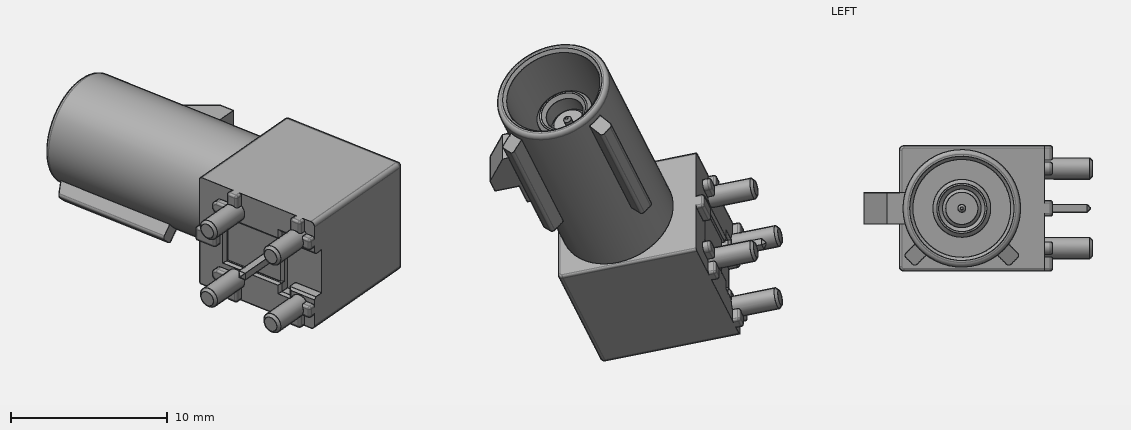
import cadquery as cq


length = 22.8
housing_front = 13.6
housing_width = 8.0
housing_back = 4.0
board_face = 5.3
housing_round = 0.3
front_edge_round = 0.15

barrel_radius = 7.5 / 2
barrel_round = 0.3
bore_radius = 3.12
mouth_chamfer = 0.2

sleeve_radius = 1.85
sleeve_bore_radius = 1.23
sleeve_front = 2.33
sleeve_chamfer = 0.25
insulator_front = 3.5
insulator_chamfer = 0.2
contact_radius = 0.25
contact_front = 3.0
contact_chamfer = 0.15

latch_width = 2.0
latch_front = 4.55
latch_ramp_end = 6.48
latch_catch = 7.52
latch_rear = 9.2
latch_ramp_start_height = 4.79
latch_step_height = 4.63
latch_top = 6.25
latch_root = 3.42

key_angle = 45
key_width = 1.0
key_root = 3.42
key_height = 4.75
key_root_front = 0.6
key_tip_front = 1.05
key_rear = 9.45
key_round = 0.2

pin_x = 19.05
post_spacing = 5.08
post_offset = post_spacing / 2
post_diameter = 1.37
post_end = 8.35
post_chamfer = 0.18
pin_width = 0.5
pin_end = 8.2
pin_chamfer = 0.2

standoff_end = 5.8
rib_width = 0.82
rib_round = 0.15
slot_rib_reach = 1.62
front_pad_length = 1.62
front_pad_width = 1.0

recess_front = 15.44
crossbar_front = 19.85
crossbar_rear = 20.9
recess_width = 3.55
crossbar_width = 4.83
shallow_depth = 0.3
deep_depth = 0.75
bevel_along_x = 0.2
bevel_along_z = 0.15
bevel_depth = 0.15

post_xs = (pin_x - post_offset, pin_x + post_offset)
sides = (-1, 1)


def block(x_range, y_range, z_range):
    """Box spanning the given (low, high) ranges."""
    spans = [high - low for low, high in (x_range, y_range, z_range)]
    corner = (x_range[0], y_range[0], z_range[0])
    return cq.Workplane("XY").box(*spans, centered=False).translate(corner)


def board_plane(x, y, z):
    """Workplane whose normal is -Y, with local x along X and local y along Z."""
    return cq.Workplane("XZ", origin=(x, y, z))


def make_housing():
    half = housing_width / 2
    body = block((housing_front, length), (-board_face, housing_back), (-half, half))
    rear_and_back = body.faces(">X or >Y").edges("not(<X or <Y)")
    body = rear_and_back.fillet(housing_round)
    return body.faces("<X").edges("not <Y").fillet(front_edge_round)


def make_barrel():
    """Barrel shell with a flat rim between the outer round and the mouth chamfer."""
    shell = (
        cq.Workplane("YZ")
        .circle(barrel_radius)
        .extrude(housing_front)
        .faces("<X").edges().fillet(barrel_round)
    )
    bore = cq.Workplane("YZ").circle(bore_radius).extrude(housing_front)
    shell = shell.cut(bore)
    mouth = shell.faces("<X").edges(cq.selectors.RadiusNthSelector(0))
    return mouth.chamfer(mouth_chamfer)


def rod(radius, front, chamfer):
    """Rod on the barrel axis from its chamfered front end to the housing."""
    return (
        cq.Workplane("YZ", origin=(front, 0, 0))
        .circle(radius)
        .extrude(housing_front - front)
        .faces("<X").edges().chamfer(chamfer)
    )


def make_inner_contact():
    """Sleeve around a recessed insulator, with the centre contact standing out of it."""
    sleeve_bore = cq.Workplane("YZ").circle(sleeve_bore_radius).extrude(housing_front)
    sleeve = rod(sleeve_radius, sleeve_front, sleeve_chamfer).cut(sleeve_bore)
    sleeve_mouth = sleeve.faces("<X").edges(cq.selectors.RadiusNthSelector(0))
    sleeve = sleeve_mouth.chamfer(sleeve_chamfer)
    insulator = rod(sleeve_bore_radius, insulator_front, insulator_chamfer)
    contact = rod(contact_radius, contact_front, contact_chamfer)
    return sleeve.union(insulator).union(contact)


def make_latch():
    outline = [
        (latch_front, latch_root),
        (latch_front, latch_ramp_start_height),
        (latch_ramp_end, latch_top),
        (latch_catch, latch_top),
        (latch_catch, latch_step_height),
        (latch_rear, latch_step_height),
        (latch_rear, latch_root),
    ]
    return cq.Workplane("XY").polyline(outline).close().extrude(latch_width / 2, both=True)


def make_key(angle):
    """Key bar with a raked front end, turned about the barrel axis away from -Z."""
    outline = [
        (key_root_front, -key_root),
        (key_tip_front, -key_height),
        (key_rear, -key_height),
        (key_rear, -key_root),
    ]
    bar = cq.Workplane("XZ").polyline(outline).close().extrude(key_width / 2, both=True)
    bar = bar.faces("<Z").edges("|X").fillet(key_round)
    return bar.rotate((0, 0, 0), (1, 0, 0), angle)


def make_post(x, z):
    return (
        board_plane(x, -board_face, z)
        .circle(post_diameter / 2)
        .extrude(post_end - board_face)
        .faces("<Y").edges().chamfer(post_chamfer)
    )


def make_signal_pin():
    """Square pin standing on the shallow recess floor."""
    foot = board_face - shallow_depth
    return (
        board_plane(pin_x, -foot, 0)
        .rect(pin_width, pin_width)
        .extrude(pin_end - foot)
        .faces("<Y").edges().chamfer(pin_chamfer)
    )


def make_rib(x_range, z_range):
    """Standoff rib on the board face, rounded everywhere except along its foot."""
    rib = block(x_range, (-standoff_end, -board_face), z_range)
    return rib.edges("not >Y").fillet(rib_round)


def make_slot_rib(x, z):
    """Standoff rib running forward from a post to a full-round end."""
    rib_length = slot_rib_reach + rib_width / 2
    return (
        board_plane(x - slot_rib_reach + rib_length / 2, -board_face, z)
        .slot2D(rib_length, rib_width)
        .extrude(standoff_end - board_face)
        .faces("<Y").edges().fillet(rib_round)
    )


def make_standoffs():
    """Front pad, ribs from each post to the nearest side, and one fore-and-aft rib per post."""
    half_rib = rib_width / 2
    half_pad = front_pad_width / 2
    front_post_x, rear_post_x = post_xs
    pad_range = (housing_front, housing_front + front_pad_length)
    ribs = make_rib(pad_range, (-half_pad, half_pad))
    for side in sides:
        post_z = side * post_offset
        z_range = sorted((post_z, side * housing_width / 2))
        for x in post_xs:
            ribs = ribs.union(make_rib((x - half_rib, x + half_rib), z_range))
        ribs = ribs.union(make_slot_rib(front_post_x, post_z))
        ribs = ribs.union(make_rib((rear_post_x, length), (post_z - half_rib, post_z + half_rib)))
    return ribs


def make_recess(x_range, width, rim_depth, floor_depth, side_bevel=bevel_along_z):
    """Cutter for a straight-walled recess with a bevelled rim; depths are below the board face."""
    x_low, x_high = x_range
    x_length = x_high - x_low
    inner_size = (x_length - 2 * bevel_along_x, width - 2 * side_bevel)
    x_mid = (x_low + x_high) / 2
    bevel = (
        board_plane(x_mid, -board_face + rim_depth, 0)
        .rect(x_length, width)
        .workplane(offset=-bevel_depth)
        .rect(*inner_size)
        .loft(ruled=True)
    )
    well = board_plane(x_mid, -board_face + floor_depth, 0).rect(*inner_size).extrude(floor_depth - rim_depth)
    return bevel.union(well)


def make_stepped_recess():
    """Cutter for a shallow recess that steps down into a deep T-shaped one open at the rear."""
    crossbar_mid = (crossbar_front + crossbar_rear) / 2
    past_rear = length + 2 * bevel_along_x
    crossbar_range = (crossbar_front, crossbar_rear)
    step_width = recess_width - 2 * bevel_along_z
    shallow = make_recess((recess_front, crossbar_rear), recess_width, 0, shallow_depth)
    crossbar = make_recess(crossbar_range, crossbar_width, 0, deep_depth)
    step = make_recess(crossbar_range, step_width, shallow_depth, deep_depth, side_bevel=0)
    rear_channel = make_recess((crossbar_mid - bevel_along_x, past_rear), recess_width, 0, deep_depth)
    return shallow.union(crossbar).union(step).union(rear_channel)


result = make_housing().cut(make_stepped_recess())
result = result.union(make_barrel()).union(make_inner_contact()).union(make_latch())
for side in sides:
    result = result.union(make_key(side * key_angle))
result = result.union(make_standoffs()).union(make_signal_pin())
for x in post_xs:
    for side in sides:
        result = result.union(make_post(x, side * post_offset))